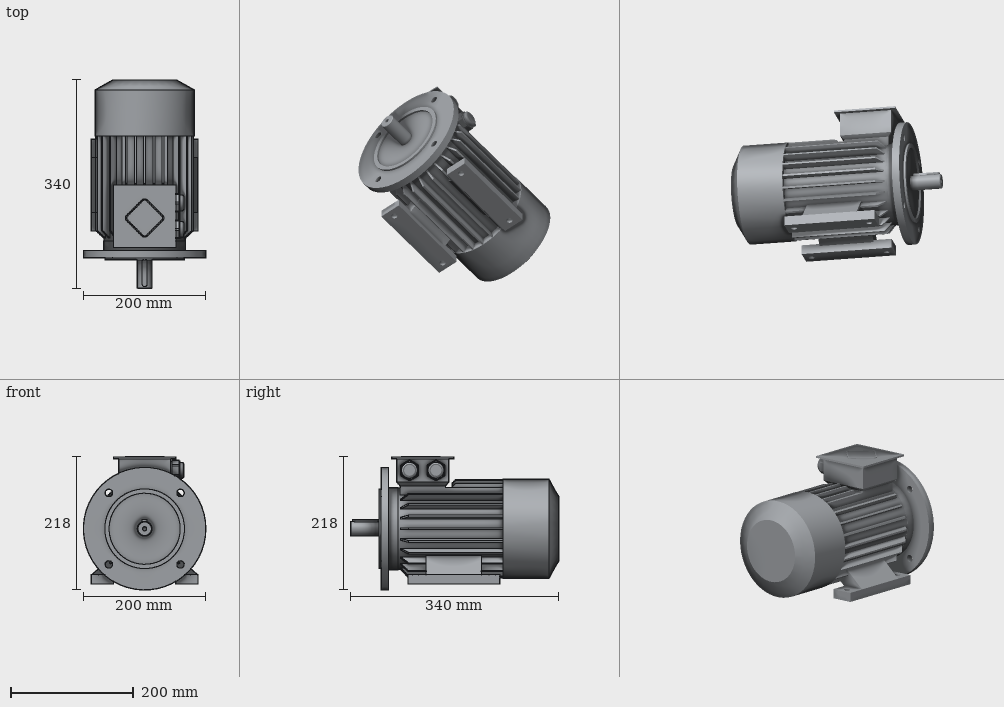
import cadquery as cq
import math


shaft_diameter = 24.0
shaft_length = 50.0
shaft_chamfer = 1.0
shaft_hole_diameter = 6.8
shaft_hole_depth = 13.5
drill_point_angle = 118
key_width = 8.0
key_length = 45.0
key_top = 15.0
key_front_gap = 3.0

flange_diameter = 200.0
flange_thickness = 12.2
flange_hole_diameter = 12.0
flange_hole_circle = 165.0
flange_hole_count = 4
pilot_diameter = 130.0
pilot_height = 3.5
recess_diameter = 116.0
recess_depth = 3.5
collar_diameter = 134.0
collar_end = 27.5

body_diameter = 133.0
cowl_diameter = 162.0
cowl_end_diameter = 103.7
cowl_start = 198.5
cone_start = 273.7
overall_length = 340
motor_end = overall_length - shaft_length

fin_thickness = 3.0
fin_radius = 80.0
fin_root_overlap = 3.0
fin_start = 32.0
fin_full_height_start = 44.5
fin_pitch_angle = 15
fin_highest_angle = 45
top_fin_spacing = 15.0
top_fin_side_count = 2
top_fin_start = 116.0
top_fin_taper = 5.5

box_center_y = 68.0
saddle_width = 74.0
saddle_top = 67.3
neck_length = 74.0
neck_top = 70.0
box_size = 85.0
box_bottom = 75.8
lid_size = 101.5
lid_bottom = 114.0
lid_top = 117.0
badge_size = 48.0
badge_corner_radius = 6.0
badge_border = 2.0
badge_center_y = 65.0
badge_height = 1.0

gland_spacing = 43.2
gland_z = 95.2
gland_neck_diameter = 30.0
gland_neck_length = 2.0
gland_hex_flats = 30.0
gland_hex_corners = 33.0
gland_hex_length = 11.5
gland_washer_diameter = 30.0
gland_washer_length = 1.7
gland_cap_diameter = 26.2
gland_cap_length = 6.0
gland_cap_fillet = 3.5

axis_height = 90.0
foot_outer_x = 87.5
foot_inner_x = 50.5
foot_thickness = 15.3
foot_length = 150.0
foot_hole_diameter = 10.0
foot_hole_spacing_x = 140.0
foot_hole_spacing_y = 125.0
foot_center_y = 118.5
leg_length = 90.0
leg_outer_x = 86.5
leg_top_z = -43.5
leg_inner_drop = 3.5


def cylinder(diameter, start, end):
    """Cylinder on the shaft axis between two Y positions."""
    return cq.Workplane("XZ", origin=(0, start, 0)).circle(diameter / 2).extrude(start - end)


def block(x_size, y_range, z_range):
    """Box centred on x = 0 between the given Y and Z limits."""
    y_low, y_high = y_range
    z_low, z_high = z_range
    return (
        cq.Workplane("XY", origin=(0, (y_low + y_high) / 2, z_low))
        .rect(x_size, y_high - y_low)
        .extrude(z_high - z_low)
    )


def centred_span(center, length):
    return center - length / 2, center + length / 2


def make_housing():
    """Stator body, collar and fan cowl with its conical rear end."""
    profile = [
        (0, flange_thickness),
        (collar_diameter / 2, flange_thickness),
        (collar_diameter / 2, collar_end),
        (body_diameter / 2, collar_end),
        (body_diameter / 2, cowl_start),
        (cowl_diameter / 2, cowl_start),
        (cowl_diameter / 2, cone_start),
        (cowl_end_diameter / 2, motor_end),
        (0, motor_end),
    ]
    return cq.Workplane("XY").polyline(profile).close().revolve(360, (0, 0), (0, 1))


def make_flange():
    """Mounting flange with a recessed pilot and a circle of through holes."""
    plate = cylinder(flange_diameter, 0, flange_thickness)
    pilot = cylinder(pilot_diameter, -pilot_height, 0)
    recess = cylinder(recess_diameter, -pilot_height, recess_depth - pilot_height)
    first_hole_angle = 180 / flange_hole_count
    holes = (
        cq.Workplane("XZ")
        .polarArray(flange_hole_circle / 2, first_hole_angle, 360, flange_hole_count)
        .circle(flange_hole_diameter / 2)
        .extrude(-flange_thickness)
    )
    return plate.union(pilot).cut(recess).cut(holes)


def make_shaft():
    """Shaft end with chamfered tip, drilled centre hole and round-ended key."""
    shaft = cylinder(shaft_diameter, -shaft_length, 0).faces("<Y").chamfer(shaft_chamfer)
    hole_radius = shaft_hole_diameter / 2
    hole_end = shaft_hole_depth - shaft_length
    drill_point = hole_radius / math.tan(math.radians(drill_point_angle / 2))
    hole_profile = [
        (0, -shaft_length),
        (hole_radius, -shaft_length),
        (hole_radius, hole_end),
        (0, hole_end + drill_point),
    ]
    center_hole = cq.Workplane("XY").polyline(hole_profile).close().revolve(360, (0, 0), (0, 1))
    key_center_y = -shaft_length + key_front_gap + key_length / 2
    key = (
        cq.Workplane("XY", origin=(0, key_center_y, 0))
        .slot2D(key_length, key_width, 90)
        .extrude(key_top)
    )
    return shaft.union(key).cut(center_hole)


def make_radial_fin():
    """Fin along +X, rooted inside the body, sloping down to the body at its front end."""
    root_radius = body_diameter / 2
    outline = [
        (root_radius - fin_root_overlap, fin_start),
        (root_radius, fin_start),
        (fin_radius, fin_full_height_start),
        (fin_radius, cowl_start),
        (root_radius - fin_root_overlap, cowl_start),
    ]
    return cq.Workplane("XY").polyline(outline).close().extrude(fin_thickness / 2, both=True)


def make_top_fin(x):
    """Upright fin on the saddle behind the terminal box, its top on the fin circle."""
    top = math.sqrt(fin_radius**2 - x**2)
    outline = [
        (top_fin_start, saddle_top - fin_root_overlap),
        (top_fin_start, top - top_fin_taper),
        (top_fin_start + top_fin_taper, top),
        (cowl_start, top),
        (cowl_start, saddle_top - fin_root_overlap),
    ]
    fin = cq.Workplane("YZ").polyline(outline).close().extrude(fin_thickness / 2, both=True)
    return fin.translate((x, 0, 0))


def make_terminal_box():
    """Saddle, tapered neck, box, lid and raised diamond frame on the lid."""
    neck_y = centred_span(box_center_y, neck_length)
    saddle = block(saddle_width, (neck_y[0], cowl_start), (0, saddle_top))
    neck = block(saddle_width, neck_y, (0, neck_top))
    taper = (
        cq.Workplane("XY", origin=(0, box_center_y, neck_top))
        .rect(saddle_width, neck_length)
        .workplane(offset=box_bottom - neck_top)
        .rect(box_size, box_size)
        .loft()
    )
    box = block(box_size, centred_span(box_center_y, box_size), (box_bottom, lid_bottom))
    lid = block(lid_size, centred_span(box_center_y, lid_size), (lid_bottom, lid_top))
    frame = make_badge(badge_size, badge_corner_radius).cut(
        make_badge(badge_size - 2 * badge_border, badge_corner_radius - badge_border)
    )
    return saddle.union(neck).union(taper).union(box).union(lid).union(frame)


def make_badge(size, corner_radius):
    """Rounded square plate on the lid, turned to stand on a corner."""
    plate = (
        cq.Workplane("XY")
        .rect(size, size)
        .extrude(badge_height)
        .edges("|Z")
        .fillet(corner_radius)
        .rotate((0, 0, 0), (0, 0, 1), 45)
    )
    return plate.translate((0, badge_center_y, lid_top))


def make_gland(y):
    """Cable gland: neck, hexagon with turned corners, washer and rounded cap."""
    hex_start = box_size / 2 + gland_neck_length
    washer_start = hex_start + gland_hex_length
    cap_start = washer_start + gland_washer_length

    def section(start):
        return cq.Workplane("YZ", origin=(start, y, gland_z))

    neck = section(box_size / 2).circle(gland_neck_diameter / 2).extrude(gland_neck_length)
    hexagon = (
        section(hex_start)
        .transformed(rotate=(0, 0, 90))
        .polygon(6, gland_hex_flats / math.cos(math.pi / 6))
        .extrude(gland_hex_length)
    )
    corner_turning = section(hex_start).circle(gland_hex_corners / 2).extrude(gland_hex_length)
    washer = section(washer_start).circle(gland_washer_diameter / 2).extrude(gland_washer_length)
    cap = (
        section(cap_start)
        .circle(gland_cap_diameter / 2)
        .extrude(gland_cap_length)
        .faces(">X")
        .edges()
        .fillet(gland_cap_fillet)
    )
    return neck.union(hexagon.intersect(corner_turning)).union(washer).union(cap)


def make_foot():
    """Foot on the +X side: drilled pad and a leg with parallel slopes running into the body."""
    pad_width = foot_outer_x - foot_inner_x
    pad_top_z = foot_thickness - axis_height
    pad = block(pad_width, centred_span(foot_center_y, foot_length), (-axis_height, pad_top_z))
    pad = pad.translate((foot_inner_x + pad_width / 2, 0, 0))
    holes = (
        cq.Workplane("XY", origin=(foot_hole_spacing_x / 2, foot_center_y, -axis_height))
        .rarray(3.5, foot_hole_spacing_y, 1, 2)
        .circle(foot_hole_diameter / 2)
        .extrude(foot_thickness)
    )
    leg_top_x = math.sqrt((body_diameter / 2) ** 2 - leg_top_z**2)
    leg_run = leg_outer_x - leg_top_x
    leg_outline = [
        (foot_inner_x, pad_top_z - leg_inner_drop),
        (leg_outer_x, pad_top_z),
        (leg_top_x, leg_top_z),
        (foot_inner_x - leg_run, leg_top_z - leg_inner_drop),
    ]
    leg = (
        cq.Workplane("XZ", origin=(0, foot_center_y, 0))
        .polyline(leg_outline)
        .close()
        .extrude(leg_length / 2, both=True)
    )
    return pad.cut(holes).union(leg)


result = make_housing().union(make_flange()).union(make_shaft())

radial_fin = make_radial_fin()
for angle in range(-180 - fin_highest_angle, fin_highest_angle + 1, fin_pitch_angle):
    result = result.union(radial_fin.rotate((0, 0, 0), (0, -1, 0), angle))

result = result.union(make_terminal_box())
for index in range(-top_fin_side_count, top_fin_side_count + 1):
    result = result.union(make_top_fin(index * top_fin_spacing))

for y in centred_span(box_center_y, gland_spacing):
    result = result.union(make_gland(y))

foot = make_foot()
result = result.union(foot).union(foot.mirror("YZ"))